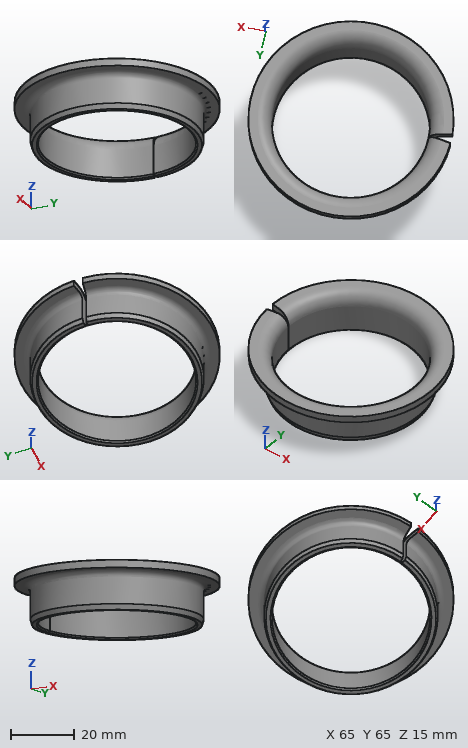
import cadquery as cq
import math

flange_diameter = 65.0
total_height = 15.0
sleeve_diameter = 55.0
bore_diameter = 50.0
bend_radius = 2.0
lead_in_height = 1.75
lead_in_depth = 0.6
bore_edge_chamfer = 0.5
slit_gap_at_bore = 0.3
slit_half_angle = 10.0

flange_radius = flange_diameter / 2
bore_radius = bore_diameter / 2
sleeve_radius = sleeve_diameter / 2
wall = sleeve_radius - bore_radius
mouth_radius = bend_radius + wall
bend_center_r = sleeve_radius + bend_radius
flange_bottom = total_height - wall
bend_center_z = flange_bottom - bend_radius
diagonal = math.sqrt(0.5)


def bend_midpoint(radius):
    """Middle of a quarter arc about the common bend center."""
    return bend_center_r - radius * diagonal, bend_center_z + radius * diagonal


def make_bushing():
    """Flanged sleeve with a constant wall, revolved about Z."""
    profile = (
        cq.Workplane("XZ")
        .moveTo(bore_radius, bore_edge_chamfer)
        .lineTo(bore_radius + bore_edge_chamfer, 0)
        .lineTo(sleeve_radius - lead_in_depth, 0)
        .lineTo(sleeve_radius, lead_in_height)
        .lineTo(sleeve_radius, bend_center_z)
        .threePointArc(bend_midpoint(bend_radius), (bend_center_r, flange_bottom))
        .lineTo(flange_radius, flange_bottom)
        .lineTo(flange_radius, total_height)
        .lineTo(bend_center_r, total_height)
        .threePointArc(bend_midpoint(mouth_radius), (bore_radius, bend_center_z))
        .close()
    )
    ring = profile.revolve(360, (0, 0, 0), (0, 1, 0))
    return ring.rotate((0, 0, 0), (0, 0, 1), 180)


def make_slit():
    """Wedge on the -X side that splits the ring and widens outwards."""
    slope = math.tan(math.radians(slit_half_angle))
    half_gap = slit_gap_at_bore / 2
    apex_x = -bore_radius + half_gap / slope
    outer_x = -flange_radius - wall
    outer_half_width = (apex_x - outer_x) * slope
    return (
        cq.Workplane("XY")
        .moveTo(apex_x, 0)
        .lineTo(outer_x, outer_half_width)
        .lineTo(outer_x, -outer_half_width)
        .close()
        .extrude(total_height)
    )


result = make_bushing().cut(make_slit())